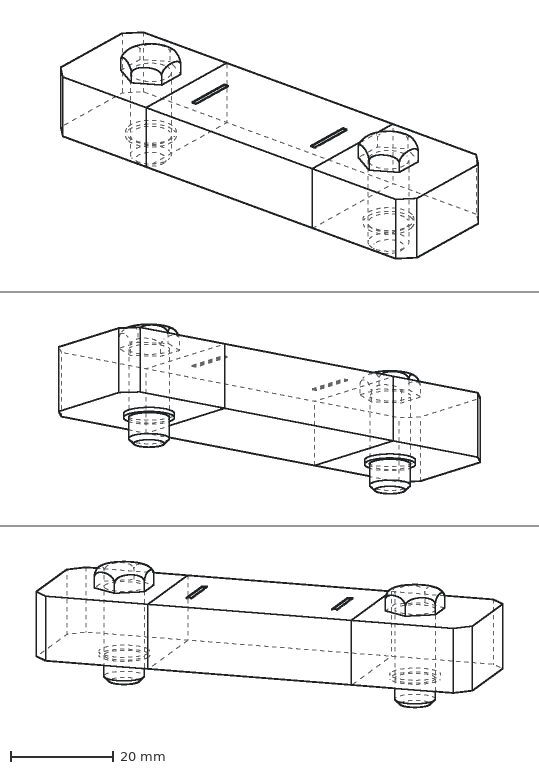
import cadquery as cq
import math

bar_length = 90.0
bar_width = 25.0
bar_height = 13.05
end_length = 24.0
middle_length = bar_length - 2 * end_length
corner_chamfer = 3.0

bolt_offset = bar_length / 3
shank_diameter = 8.0
shank_projection = 6.0
tip_chamfer = 1.0
head_height = 4.0
head_flat_diameter = 8.0
head_rounding = 2.0
head_corner_diameter = head_flat_diameter + 2 * head_rounding

boss_diameter = 10.0
boss_height = 0.8

slot_offset = bar_length / 6
slot_width = 1.0
slot_length = 10.0
slot_depth = 0.2


def make_middle_block():
    """Plain block with two marker slots in its top face."""
    block = cq.Workplane("XY").box(middle_length, bar_width, bar_height, centered=(True, True, False))
    slots = (
        cq.Workplane("XY", origin=(0, 0, bar_height))
        .pushPoints([(-slot_offset, 0), (slot_offset, 0)])
        .rect(slot_width, slot_length)
        .extrude(-slot_depth)
    )
    return block.cut(slots)


def make_end_block(side):
    """End block with chamfered outer corners, bottom boss and bolt hole; side is -1 or 1 along X."""
    center_x = side * (bar_length - end_length) / 2
    outer_face = ">X" if side > 0 else "<X"
    block = (
        cq.Workplane("XY")
        .box(end_length, bar_width, bar_height, centered=(True, True, False))
        .translate((center_x, 0, 0))
        .faces(outer_face)
        .edges("|Z")
        .chamfer(corner_chamfer)
    )
    bolt_x = side * bolt_offset
    boss = cq.Workplane("XY").center(bolt_x, 0).circle(boss_diameter / 2).extrude(-boss_height)
    hole = (
        cq.Workplane("XY", origin=(bolt_x, 0, -boss_height))
        .circle(shank_diameter / 2)
        .extrude(boss_height + bar_height)
    )
    return block.union(boss).cut(hole)


def make_bolt_head():
    """Hexagon with corners on the Y axis, its top corners rounded by a revolved arc."""
    hexagon = (
        cq.Workplane("XY", origin=(0, 0, bar_height))
        .transformed(rotate=(0, 0, 90))
        .polygon(6, head_corner_diameter)
        .extrude(head_height)
    )
    top_z = bar_height + head_height
    corner_radius = head_corner_diameter / 2
    flat_radius = head_flat_diameter / 2
    arc_reach = head_rounding * math.sin(math.pi / 4)
    rounded_envelope = (
        cq.Workplane("XZ")
        .moveTo(0, bar_height)
        .lineTo(corner_radius, bar_height)
        .lineTo(corner_radius, top_z - head_rounding)
        .threePointArc(
            (flat_radius + arc_reach, top_z - head_rounding + arc_reach),
            (flat_radius, top_z),
        )
        .lineTo(0, top_z)
        .close()
        .revolve(360, (0, 0, 0), (0, 1, 0))
    )
    return hexagon.intersect(rounded_envelope)


def make_bolt(side):
    """Hexagon-head bolt whose chamfered tip projects below the end block."""
    shank = (
        cq.Workplane("XY", origin=(0, 0, -shank_projection))
        .circle(shank_diameter / 2)
        .extrude(shank_projection + bar_height)
        .faces("<Z")
        .chamfer(tip_chamfer)
    )
    return shank.union(make_bolt_head()).translate((side * bolt_offset, 0, 0))


middle_block = make_middle_block()
bodies = [middle_block.solids().val()]
for bar_side in (-1, 1):
    bodies.append(make_end_block(bar_side).solids().val())
    bodies.append(make_bolt(bar_side).solids().val())

result = cq.Compound.makeCompound(bodies)